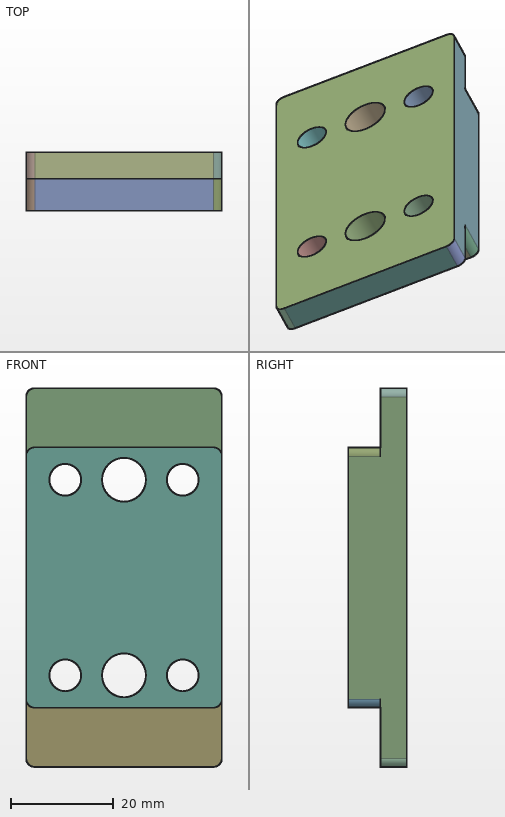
import cadquery as cq

width = 38.1
depth = 11.4
plate_height = 73.65

plate_thickness = 5.15
block_thickness = depth - plate_thickness
block_height = 50.6
corner_radius = 1.7

small_hole_diameter = 6.1
large_hole_diameter = 8.5
hole_spacing = 11.4
row_spacing = 38.0


def rounded_slab(height, thickness, back_y):
    """Slab with rounded corners, extending forward (-Y) from back_y."""
    return (
        cq.Workplane("XZ", origin=(0, back_y, 0))
        .rect(width, height)
        .extrude(thickness)
        .edges("|Y")
        .fillet(corner_radius)
    )


def through_holes(diameter, x_positions):
    """Cutters for both rows of holes at the given X positions."""
    centers = [(x, z) for x in x_positions for z in (-row_spacing / 2, row_spacing / 2)]
    return (
        cq.Workplane("XZ", origin=(0, depth / 2, 0))
        .pushPoints(centers)
        .circle(diameter / 2)
        .extrude(depth)
    )


plate = rounded_slab(plate_height, plate_thickness, depth / 2)
block = rounded_slab(block_height, block_thickness, depth / 2 - plate_thickness)

result = (
    plate.union(block)
    .cut(through_holes(small_hole_diameter, (-hole_spacing, hole_spacing)))
    .cut(through_holes(large_hole_diameter, (0,)))
)